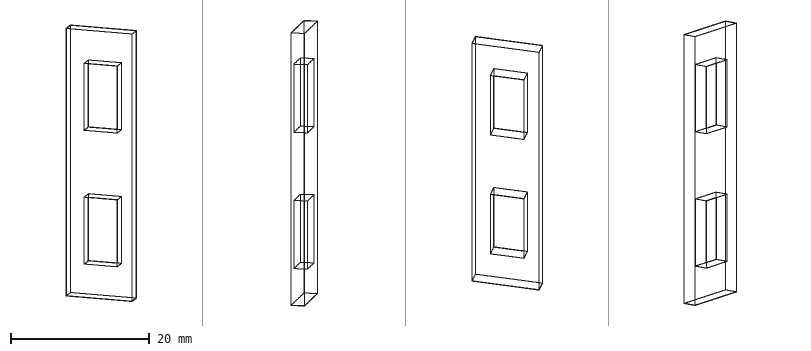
import cadquery as cq

width = 10.0
thickness = 2.0
height = 40.0

window_width = width / 2
window_height = height / 4
window_spacing = height / 2
window_offset = 0.25

plate = cq.Workplane("XY").box(width, thickness, height)

windows = (
    cq.Workplane("XZ")
    .center(window_offset, 0)
    .rarray(0.4, window_spacing, 1, 2)
    .rect(window_width, window_height)
    .extrude(thickness, both=True)
)

result = plate.cut(windows)